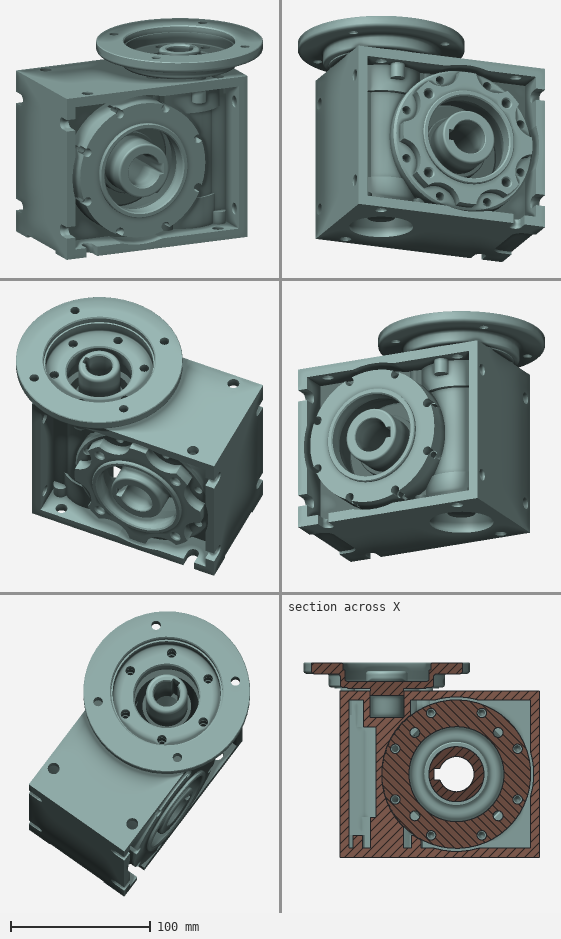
import cadquery as cq
import math


centre_distance = 50.0
housing_width = 85.0
housing_depth = 144.0
housing_height = 120.0
wall = 7.0
flange_diameter = 120.0
flange_rise = 20.0

half_width = housing_width / 2
half_height = housing_height / 2
front_y = -half_height
back_y = front_y + housing_depth
flange_top = half_height + flange_rise
inner_top = half_height - wall

tapped_diameter = 5.0
thread_diameter = 6.5
thread_runout = 6.8
clearance_diameter = 6.8
screw_tip_angle = 118.0

web_half = 20.5
cover_seat = 23.5
cover_rim_diameter = 107.1
relief_diameter = 110.8
wheel_cavity_diameter = 81.6
wheel_cavity_chamfer = 1.2
wheel_cavity_half = web_half

upper_boss_diameter = 60.0
upper_boss_bottom = 33.7
barrel_diameter = 52.0
lower_boss_diameter = 55.0
lower_boss_top = -31.0
worm_bore_diameter = 46.0
worm_bearing_diameter = 55.0
worm_bearing_floor = 40.8

peg_diameter = 10.4
upper_peg_circle = 65.0
upper_peg_bottom = 42.5
lower_peg_circle = 59.5
lower_peg_count = 4
lower_peg_top = -44.0
peg_hole_bottom = 45.9

mount_hole_diameter = 8.5
mount_inset_x = 7.5
mount_inset = 20.0
mount_x = half_width - mount_inset_x

foot_pocket_width = 48.0
foot_pocket_height = 2.0
foot_pocket_corner = 8.0

lobe_face = 43.5
cover_ring_end = 46.0
hub_disc_diameter = 99.6
rim_face = 34.8
rim_chamfer = 1.5
cover_ring_diameter = 70.0
cover_ring_chamfer = 0.7
seal_diameter = 62.0
seal_mouth_diameter = 64.0
seal_floor = 34.5
bearing_diameter = 68.0

output_hole_circle = 95.2
output_hole_count = 8
output_hole_depth = 17.0
cover_screw_circle = 84.7
cover_screw_mouth = 8.5
cover_screw_count = 4
scallop_radius = 15.3
scallop_circle = 56.1

shaft_diameter = 40.0
shaft_end_fillet = 1.5
shoulder_diameter = 46.0
shoulder_half = 20.4
shoulder_chamfer = 0.7
wheel_diameter = 71.4
wheel_width = 18.7
wheel_chamfer = 1.7
output_bore = 25.0
output_bore_mouth = 26.0
output_key_width = 8.0
output_key_reach = 15.8

worm_top = 74.1
worm_end_diameter = 30.1
worm_end_fillet = 2.5
worm_diameter = 35.0
worm_shoulder = 40.8
worm_collar = 10.2
worm_core_diameter = 27.9
worm_step = -17.5
worm_tail_diameter = 20.0
worm_bore = 19.0
worm_bore_mouth = 20.7
worm_bore_depth = 40.0
worm_key_width = 6.0
worm_key_reach = 12.2

plate_bottom = 71.9
plate_fillet = 2.5
plate_top_chamfer = 0.5
neck_diameter = 83.6
neck_bottom = 62.2
neck_fillet = 1.9
seat_diameter = 75.5
seat_bottom = 61.4
flange_spigot_bottom = 56.5
motor_pilot_diameter = 80.0
motor_pilot_depth = 5.0
motor_pilot_chamfer = 0.8
flange_pocket_diameter = 77.9
flange_floor = 67.0
flange_floor_fillet = 0.8
worm_seal_diameter = 47.0
worm_seal_chamfer = 1.0
motor_hole_circle = 100.0
motor_hole_count = 4
flange_screw_count = 6


def x_disc(diameter, x_start, x_end):
    """Cylinder on the output axis between two X positions."""
    return cq.Workplane("YZ", origin=(x_start, 0, 0)).circle(diameter / 2).extrude(x_end - x_start)


def x_cone(start_diameter, end_diameter, x_start, x_end):
    """Cone frustum on the output axis between two X positions."""
    profile = [(x_start, 0), (x_start, start_diameter / 2), (x_end, end_diameter / 2), (x_end, 0)]
    return cq.Workplane("XY").polyline(profile).close().revolve(360, (0, 0, 0), (1, 0, 0))


def z_disc(diameter, z_start, z_end):
    """Cylinder on the worm axis between two Z positions."""
    base = cq.Workplane("XY", origin=(0, centre_distance, z_start))
    return base.circle(diameter / 2).extrude(z_end - z_start)


def z_cone(diameter, chamfer, mouth_z):
    """Cutter that chamfers the upper mouth of a bore on the worm axis."""
    radius = diameter / 2
    profile = [
        (0, mouth_z - chamfer),
        (radius, mouth_z - chamfer),
        (radius + chamfer, mouth_z),
        (0, mouth_z),
    ]
    cone = cq.Workplane("XZ").polyline(profile).close().revolve(360, (0, 0, 0), (0, 1, 0))
    return cone.translate((0, centre_distance, 0))


def circle_points(diameter, count, first_angle):
    """Evenly spaced points on a circle, as pairs of plane coordinates."""
    angles = [math.radians(first_angle + 360 * i / count) for i in range(count)]
    return [(diameter / 2 * math.cos(a), diameter / 2 * math.sin(a)) for a in angles]


def box_between(x_range, y_range, z_range):
    """Box that fills the given X, Y and Z ranges."""
    size = [high - low for low, high in (x_range, y_range, z_range)]
    corner = (x_range[0], y_range[0], z_range[0])
    return cq.Workplane("XY").box(*size, centered=False).translate(corner)


def tapped_hole(depth):
    """Cutter for a tapped hole that enters at the origin and runs along +X to a conical tip."""
    radius = tapped_diameter / 2
    thread_radius = thread_diameter / 2
    thread_end = depth - thread_runout
    tip = depth + radius / math.tan(math.radians(screw_tip_angle / 2))
    profile = [
        (0, 0),
        (0, thread_radius),
        (thread_end, thread_radius),
        (thread_end, radius),
        (depth, radius),
        (tip, 0),
    ]
    return cq.Workplane("XY").polyline(profile).close().revolve(360, (0, 0, 0), (1, 0, 0))


output_hole_points = circle_points(output_hole_circle, output_hole_count, 180 / output_hole_count)
flange_screw_points = circle_points(upper_peg_circle, flange_screw_count, 0)
lower_peg_points = circle_points(lower_peg_circle, lower_peg_count, 45)


def housing_shell():
    """Box whose two sides are open pockets, separated by a central web."""
    shell = box_between((-half_width, half_width), (front_y, back_y), (-half_height, half_height))
    for x_range in ((-half_width, -web_half), (web_half, half_width)):
        pocket = box_between(x_range, (front_y + wall, back_y - wall), (-inner_top, inner_top))
        shell = shell.cut(pocket)
    return shell


def worm_barrel():
    """Upright barrel around the worm with a thicker boss and screw pegs at each end."""
    barrel = z_disc(barrel_diameter, -inner_top, inner_top)
    barrel = barrel.union(z_disc(upper_boss_diameter, upper_boss_bottom, inner_top))
    barrel = barrel.union(z_disc(lower_boss_diameter, -inner_top, lower_boss_top))
    for x, y in flange_screw_points:
        barrel = barrel.union(z_disc(peg_diameter, upper_peg_bottom, inner_top).translate((x, y, 0)))
    for x, y in lower_peg_points:
        barrel = barrel.union(z_disc(peg_diameter, -inner_top, lower_peg_top).translate((x, y, 0)))
    return barrel


def closed_side_disc():
    """Solid disc and ring on the side without a cover."""
    disc = x_disc(hub_disc_diameter, 0, lobe_face)
    ring = x_disc(cover_ring_diameter, lobe_face, cover_ring_end)
    ring = ring.faces(">X").edges().chamfer(cover_ring_chamfer)
    return disc.union(ring)


def bearing_seat_cutter():
    """Bearing and seal bore of the closed side, opening at +X."""
    mouth_depth = (seal_mouth_diameter - seal_diameter) / 2
    cutter = x_disc(bearing_diameter, 0, seal_floor)
    cutter = cutter.union(x_disc(seal_diameter, seal_floor, cover_ring_end))
    mouth = x_cone(seal_diameter, seal_mouth_diameter, cover_ring_end - mouth_depth, cover_ring_end)
    return cutter.union(mouth)


def mounting_hole_cutter():
    """Mounting holes through all four walls; the front and lower front ones open to the side."""
    radius = mount_hole_diameter / 2
    hole_ys = (front_y + mount_inset, back_y - mount_inset)
    hole_z = half_height - mount_inset
    columns = [(x, z) for x in (-mount_x, mount_x) for z in (-hole_z, hole_z)]
    front = cq.Workplane("XZ", origin=(0, front_y + wall, 0)).pushPoints(columns).circle(radius).extrude(wall)
    cutter = front.union(front.translate((0, back_y - wall - front_y, 0)))
    rows = [(x, y) for x in (-mount_x, mount_x) for y in hole_ys]
    bottom = cq.Workplane("XY", origin=(0, 0, -half_height)).pushPoints(rows).circle(radius).extrude(wall)
    cutter = cutter.union(bottom).union(bottom.translate((0, 0, half_height + inner_top)))
    for x_range in ((-half_width, -mount_x), (mount_x, half_width)):
        for z in (-hole_z, hole_z):
            z_range = (z - radius, z + radius)
            cutter = cutter.union(box_between(x_range, (front_y, front_y + wall), z_range))
        y_range = (hole_ys[0] - radius, hole_ys[0] + radius)
        cutter = cutter.union(box_between(x_range, y_range, (-half_height, -inner_top)))
    return cutter


def foot_pocket_cutter():
    """Shallow recess in the underside, open to the front, with rounded inner corners."""
    half = foot_pocket_width / 2
    pocket = box_between(
        (-half, half),
        (front_y, front_y + 2 * foot_pocket_corner),
        (-half_height, -half_height + foot_pocket_height),
    )
    return pocket.edges("|Z and >Y").fillet(foot_pocket_corner)


def cover_side_tapped_holes():
    """Tapped holes of the output face, through the cover rim into the housing."""
    hole = tapped_hole(output_hole_depth)
    holes = cq.Workplane("XY")
    for y, z in output_hole_points:
        holes = holes.add(hole.translate((-rim_face, y, z)))
    return holes.combine()


def build_housing():
    """Housing with the worm barrel, the wheel cavity and one closed output side."""
    body = housing_shell()
    body = body.cut(x_disc(relief_diameter, -half_width, -web_half))
    body = body.cut(x_disc(relief_diameter, web_half, half_width))
    body = body.union(worm_barrel()).union(closed_side_disc())
    body = body.union(x_disc(cover_rim_diameter, -cover_seat, -web_half))
    body = body.cut(x_disc(cover_rim_diameter, -half_width, -cover_seat))

    body = body.cut(x_disc(wheel_cavity_diameter, -cover_seat, wheel_cavity_half))
    chamfered_diameter = wheel_cavity_diameter + 2 * wheel_cavity_chamfer
    chamfer_end = -cover_seat + wheel_cavity_chamfer
    body = body.cut(x_cone(chamfered_diameter, wheel_cavity_diameter, -cover_seat, chamfer_end))
    body = body.cut(bearing_seat_cutter())
    body = body.cut(z_disc(worm_bore_diameter, -half_height, half_height))
    body = body.cut(z_disc(worm_bearing_diameter, worm_bearing_floor, half_height))
    body = body.cut(mounting_hole_cutter()).cut(foot_pocket_cutter())

    body = body.cut(cover_side_tapped_holes())
    body = body.cut(cover_side_tapped_holes().mirror("YZ").translate((lobe_face - rim_face, 0, 0)))
    for x, y in flange_screw_points:
        hole = tapped_hole(half_height - peg_hole_bottom).rotate((0, 0, 0), (0, 1, 0), 90)
        body = body.cut(hole.translate((x, centre_distance + y, half_height)))
    return body


def cover_screw_hole():
    """Cutter for one chamfered screw hole through the cover, on the output axis."""
    mouth_depth = (cover_screw_mouth - clearance_diameter) / 2
    shank = x_disc(clearance_diameter, -lobe_face, -cover_seat)
    mouth = x_cone(cover_screw_mouth, clearance_diameter, -lobe_face, -lobe_face + mouth_depth)
    return shank.union(mouth)


def build_cover():
    """Scalloped cover with an outer seal ring and a rim that sits on the housing."""
    plate = x_disc(hub_disc_diameter, -lobe_face, -rim_face)
    scallop_points = circle_points(2 * scallop_circle, output_hole_count, 180 / output_hole_count)
    for y, z in scallop_points:
        plate = plate.cut(x_disc(2 * scallop_radius, -lobe_face, -rim_face).translate((0, y, z)))
    ring = x_disc(cover_ring_diameter, -cover_ring_end, -lobe_face)
    ring = ring.faces("<X").edges().chamfer(cover_ring_chamfer)
    rim = x_disc(cover_rim_diameter, -rim_face, -cover_seat)
    rim = rim.faces("<X").edges().chamfer(rim_chamfer)
    body = plate.union(ring).union(rim).cut(bearing_seat_cutter().mirror("YZ"))
    for y, z in circle_points(cover_screw_circle, cover_screw_count, 45):
        body = body.cut(cover_screw_hole().translate((0, y, z)))
    return body.cut(cover_side_tapped_holes())


def build_wheel():
    """Worm wheel on a hollow output shaft with a full-length keyway."""
    shaft = x_disc(shaft_diameter, -cover_ring_end, cover_ring_end)
    shaft = shaft.faces("<X or >X").edges().fillet(shaft_end_fillet)
    wheel = x_disc(wheel_diameter, -wheel_width / 2, wheel_width / 2)
    wheel = wheel.edges().chamfer(wheel_chamfer)
    shoulder = x_disc(shoulder_diameter, -shoulder_half, shoulder_half).edges().chamfer(shoulder_chamfer)
    body = shaft.union(shoulder).union(wheel)
    mouth_depth = (output_bore_mouth - output_bore) / 2
    body = body.cut(x_disc(output_bore, -cover_ring_end, cover_ring_end))
    mouth = x_cone(output_bore_mouth, output_bore, -cover_ring_end, -cover_ring_end + mouth_depth)
    body = body.cut(mouth).cut(mouth.mirror("YZ"))
    half_key = output_key_width / 2
    keyway = box_between(
        (-cover_ring_end, cover_ring_end), (0, output_key_reach), (-half_key, half_key)
    )
    return body.cut(keyway)


def build_worm():
    """Worm with a hollow, keyed upper end that takes the motor shaft."""
    top = z_disc(worm_end_diameter, worm_shoulder, worm_top).faces(">Z").edges().fillet(worm_end_fillet)
    body = top.union(z_disc(worm_diameter, worm_shoulder - worm_collar, worm_shoulder))
    body = body.union(z_disc(worm_core_diameter, worm_step, worm_shoulder - worm_collar))
    body = body.union(z_disc(worm_tail_diameter, -inner_top, worm_step))

    bore_radius = worm_bore / 2
    mouth_radius = worm_bore_mouth / 2
    floor = worm_top - worm_bore_depth
    tip = floor - bore_radius / math.tan(math.radians(screw_tip_angle / 2))
    profile = [
        (0, worm_top),
        (mouth_radius, worm_top),
        (bore_radius, worm_top - (mouth_radius - bore_radius)),
        (bore_radius, floor),
        (0, tip),
    ]
    bore = cq.Workplane("XZ").polyline(profile).close().revolve(360, (0, 0, 0), (0, 1, 0))
    half_key = worm_key_width / 2
    keyway = box_between((-half_key, half_key), (0, worm_key_reach), (floor, worm_top))
    return body.cut(bore.union(keyway).translate((0, centre_distance, 0)))


def neck_root():
    """Concave fillet ring where the neck meets the underside of the plate."""
    radius = neck_diameter / 2
    low = plate_bottom - neck_fillet
    mid = neck_fillet * (1 - math.sqrt(0.5))
    ring = (
        cq.Workplane("XZ")
        .moveTo(0, low)
        .lineTo(radius, low)
        .threePointArc((radius + mid, plate_bottom - mid), (radius + neck_fillet, plate_bottom))
        .lineTo(0, plate_bottom)
        .close()
        .revolve(360, (0, 0, 0), (0, 1, 0))
    )
    return ring.translate((0, centre_distance, 0))


def build_flange():
    """Motor flange with a stepped pocket, seated on six pads and in the bearing bore."""
    plate = z_disc(flange_diameter, plate_bottom, flange_top)
    plate = plate.faces("<Z").edges().fillet(plate_fillet)
    plate = plate.faces(">Z").edges().chamfer(plate_top_chamfer)
    neck = z_disc(neck_diameter, neck_bottom, plate_bottom)
    neck = neck.faces("<Z").edges().fillet(neck_fillet)
    body = plate.union(neck).union(neck_root())
    body = body.union(z_disc(seat_diameter, seat_bottom, neck_bottom))
    for x, y in flange_screw_points:
        body = body.union(z_disc(peg_diameter, half_height, seat_bottom).translate((x, y, 0)))
    body = body.union(z_disc(worm_bearing_diameter, flange_spigot_bottom, seat_bottom))

    pilot = z_disc(motor_pilot_diameter, flange_top - motor_pilot_depth, flange_top)
    pocket = z_disc(flange_pocket_diameter, flange_floor, flange_top)
    body = body.cut(z_cone(motor_pilot_diameter, motor_pilot_chamfer, flange_top))
    body = body.cut(z_cone(worm_seal_diameter, worm_seal_chamfer, flange_floor))
    body = body.cut(pilot).cut(pocket.faces("<Z").edges().fillet(flange_floor_fillet))
    body = body.cut(z_disc(worm_seal_diameter, flange_spigot_bottom, flange_top))
    return drill_flange(body)


def drill_flange(body):
    """Motor bolt holes in the plate and screw holes through the floor and pads."""
    for x, y in circle_points(motor_hole_circle, motor_hole_count, 45):
        body = body.cut(z_disc(clearance_diameter, plate_bottom, flange_top).translate((x, y, 0)))
    for x, y in flange_screw_points:
        body = body.cut(z_disc(clearance_diameter, half_height, flange_top).translate((x, y, 0)))
    return body


housing = build_housing()
cover = build_cover()
wheel = build_wheel()
worm = build_worm()
flange = build_flange()

result = cq.Compound.makeCompound([housing.val(), cover.val(), wheel.val(), worm.val(), flange.val()])